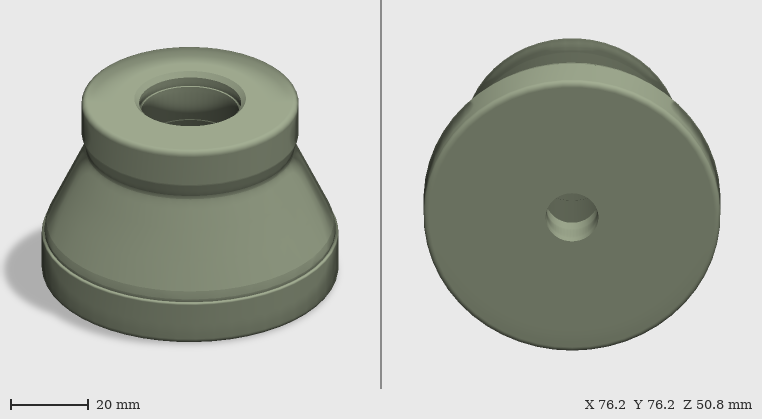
import cadquery as cq

total_height = 50.8

base_radius = 38.1
base_height = 12.0
base_bottom_fillet = 1.45
base_top_fillet = 0.45
hole_radius = 6.8
hole_chamfer = 0.45

skirt_radius = 37.3
skirt_height = 13.9
skirt_fillet = 4.95
neck_radius = 26.6
neck_height = 36.8
neck_fillet = 1.3
collar_radius = 27.9
collar_bottom_height = 41.0
collar_bottom_fillet = 1.4
collar_top_fillet = 1.45

mouth_radius = 13.1
mouth_chamfer = 1.2
mouth_depth = 3.65
seat_radius = 12.6
seat_depth = 13.3
groove_radius = 12.8
groove_height = 0.6
bore_radius = 12.35


def circle_edge_at(radius, height):
    """Select the horizontal circular edges of a given radius and height."""
    tolerance = 0.01
    return cq.selectors.BoxSelector(
        (-radius - tolerance, -radius - tolerance, height - tolerance),
        (radius + tolerance, radius + tolerance, height + tolerance),
        boundingbox=True,
    )


def make_base():
    """Round disc with a chamfered centre hole."""
    base = cq.Workplane("XY").circle(base_radius).extrude(base_height)
    base = base.faces("<Z").edges().fillet(base_bottom_fillet)
    base = base.faces(">Z").edges().fillet(base_top_fillet)
    base = base.faces(">Z").workplane().hole(2 * hole_radius)
    return base.edges(circle_edge_at(hole_radius, base_height)).chamfer(hole_chamfer)


def make_housing_outside():
    """Bell-shaped solid: skirt, cone, waisted neck and collar."""
    outline = [
        (0, base_height),
        (skirt_radius, base_height),
        (skirt_radius, skirt_height),
        (neck_radius, neck_height),
        (collar_radius, collar_bottom_height),
        (collar_radius, total_height),
        (0, total_height),
    ]
    body = cq.Workplane("XZ").polyline(outline).close().revolve(360, (0, 0), (0, 1))
    for radius, height, fillet in [
        (skirt_radius, skirt_height, skirt_fillet),
        (neck_radius, neck_height, neck_fillet),
        (collar_radius, collar_bottom_height, collar_bottom_fillet),
        (collar_radius, total_height, collar_top_fillet),
    ]:
        body = body.edges(circle_edge_at(radius, height)).fillet(fillet)
    return body


def make_housing_bore():
    """Stepped through bore with a narrow groove and a chamfered mouth."""
    mouth_height = total_height - mouth_depth
    seat_height = total_height - seat_depth
    outline = [
        (0, base_height),
        (bore_radius, base_height),
        (bore_radius, seat_height),
        (groove_radius, seat_height),
        (groove_radius, seat_height + groove_height),
        (seat_radius, seat_height + groove_height),
        (seat_radius, mouth_height),
        (mouth_radius, mouth_height),
        (mouth_radius, total_height - mouth_chamfer),
        (mouth_radius + mouth_chamfer, total_height),
        (0, total_height),
    ]
    return cq.Workplane("XZ").polyline(outline).close().revolve(360, (0, 0), (0, 1))


base = make_base()
housing = make_housing_outside().cut(make_housing_bore())

result = cq.Compound.makeCompound([base.val(), housing.val()])